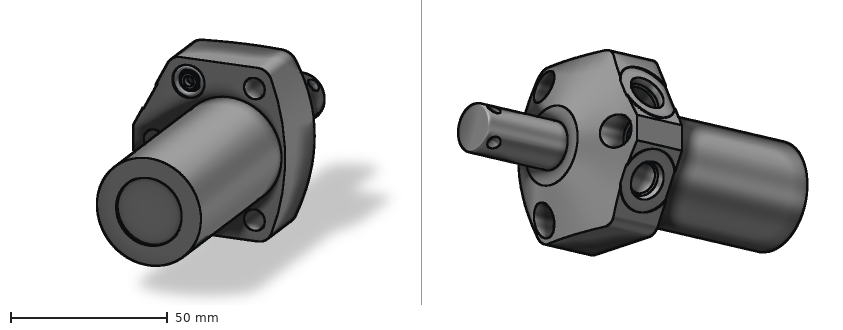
import cadquery as cq
import math

LENGTH = 124.0
ROD_TIP_Y = 58.9
BARREL_LENGTH = LENGTH - ROD_TIP_Y
BARREL_RADIUS = 18.1
END_RECESS_RADIUS = 11.4
END_RECESS_DEPTH = 1.2

ROD_RADIUS = 8.0
ROD_TIP_FILLET = 0.9
DIMPLE_DEPTH = 2.5
DIMPLE_TO_TIP = 4.0
DIMPLE_ANGLES = (45, 135, 225, 315)

FLANGE_LEFT = -33.5
FLANGE_RIGHT = 19.3
FLANGE_HEIGHT = 58.7
FLANGE_HALF_HEIGHT = FLANGE_HEIGHT / 2
LEFT_FLAT_HALF = 4.2
SLANT_ANGLE = math.radians(62)
RIGHT_ARC_RADIUS = 72.7
CORNER_RADIUS = 5.0

FLANGE_THICKNESS = 26.3
CONE_TOP_RADIUS = 13.0
CONE_SLOPE = math.radians(20.3)
CONE_BASE_RADIUS = 49.6

BOLT_RADIUS = 3.6
BOLT_HEAD_RADIUS = 5.5
BOLT_SEAT_Y = 13.6
BOLT_POINTS = [(-26.2, 0), (8.7, 22.2), (8.7, -22.2)]

PORT_Y = 9.4
PORT_Z = 14.8
PORT_SPOT_RADIUS = 10.5
PORT_SPOT_DEPTH = 0.4
PORT_PROFILE = [(6.3, 0.0), (5.7, 2.4), (5.1, 3.1), (5.1, 16.2)]

VALVE_X = -14.3
VALVE_Z = 21.5
VALVE_RADIUS = 5.6
OPEN_BORE_PROFILE = [(VALVE_RADIUS, 0.0), (VALVE_RADIUS, 2.5), (4.6, 2.5), (4.0, 5.0), (3.3, 5.6)]
PLUG_RIM_INNER = 3.7
PLUG_RIM_HEIGHT = 0.2
PLUG_FLOOR_DEPTH = 1.5
PLUG_CORE_RADIUS = 2.7
PLUG_CORE_BEVEL = 0.5
PLUG_CORE_DEPTH = 0.2
PLUG_SOCKET_RADIUS = 1.7
PLUG_SOCKET_DEPTH = 3.1


def disc(radius, y_start, y_end, x=0.0, z=0.0):
    """Solid cylinder along Y between two Y positions."""
    axis = cq.Vector(0, 1, 0)
    return cq.Workplane(cq.Solid.makeCylinder(radius, y_end - y_start, cq.Vector(x, y_start, z), axis))


def bore(profile, plane):
    """Stepped round cutter: (radius, depth) pairs measured down the plane's normal."""
    points = [(0, profile[0][1])] + profile + [(0, profile[-1][1])]
    section = cq.Plane(plane.origin, plane.xDir, plane.xDir.cross(plane.zDir))
    return cq.Workplane(section).polyline(points).close().revolve(360, (0, 0, 0), (0, 1, 0))


def flange_blank():
    slant_run = (FLANGE_HALF_HEIGHT - LEFT_FLAT_HALF) / math.tan(SLANT_ANGLE)
    top_left = FLANGE_LEFT + slant_run
    arc_drop = RIGHT_ARC_RADIUS - math.sqrt(RIGHT_ARC_RADIUS**2 - FLANGE_HALF_HEIGHT**2)
    top_right = FLANGE_RIGHT - arc_drop
    blank = (
        cq.Workplane("XZ")
        .moveTo(FLANGE_LEFT, -LEFT_FLAT_HALF)
        .lineTo(FLANGE_LEFT, LEFT_FLAT_HALF)
        .lineTo(top_left, FLANGE_HALF_HEIGHT)
        .lineTo(top_right, FLANGE_HALF_HEIGHT)
        .threePointArc((FLANGE_RIGHT, 0), (top_right, -FLANGE_HALF_HEIGHT))
        .lineTo(top_left, -FLANGE_HALF_HEIGHT)
        .close()
        .extrude(-FLANGE_THICKNESS)
    )
    blank = blank.edges("|Y").edges(">Z or <Z").fillet(CORNER_RADIUS)

    cone_drop = (CONE_BASE_RADIUS - CONE_TOP_RADIUS) * math.tan(CONE_SLOPE)
    cone_envelope = (
        cq.Workplane("XY")
        .polyline([
            (0, 0),
            (CONE_BASE_RADIUS, 0),
            (CONE_BASE_RADIUS, FLANGE_THICKNESS - cone_drop),
            (CONE_TOP_RADIUS, FLANGE_THICKNESS),
            (0, FLANGE_THICKNESS),
        ])
        .close()
        .revolve(360, (0, 0, 0), (0, 1, 0))
    )
    return blank.intersect(cone_envelope)


def port(side):
    """Spotface and bore in the upper (side = 1) or lower (side = -1) slanted face."""
    x = FLANGE_LEFT + (PORT_Z - LEFT_FLAT_HALF) / math.tan(SLANT_ANGLE)
    inward = cq.Vector(math.sin(SLANT_ANGLE), 0, -side * math.cos(SLANT_ANGLE))
    plane = cq.Plane(cq.Vector(x, PORT_Y, side * PORT_Z), cq.Vector(0, 1, 0), inward)
    spotface = cq.Workplane(plane).circle(PORT_SPOT_RADIUS).extrude(PORT_SPOT_DEPTH)
    below_spotface = [(radius, depth + PORT_SPOT_DEPTH) for radius, depth in PORT_PROFILE]
    return spotface.union(bore(below_spotface, plane))


def turned_about_upper_valve(outline):
    """Revolve a closed (radius, depth) outline about the axis of the upper valve bore."""
    return outline.close().revolve(360, (0, 0, 0), (0, 1, 0))


def add_plug(body):
    """Round-topped ring about a bevelled core with a round socket, in the upper valve bore."""
    plane = cq.Plane((VALVE_X, 0, VALVE_Z), (1, 0, 0), (0, 0, 1))
    crown_radius = (VALVE_RADIUS - PLUG_RIM_INNER) / 2
    crown_center = PLUG_RIM_INNER + crown_radius
    shoulder = crown_radius - PLUG_RIM_HEIGHT
    ring = turned_about_upper_valve(
        cq.Workplane(plane)
        .moveTo(PLUG_RIM_INNER, PLUG_FLOOR_DEPTH)
        .lineTo(PLUG_RIM_INNER, shoulder)
        .threePointArc((crown_center, -PLUG_RIM_HEIGHT), (VALVE_RADIUS, shoulder))
        .lineTo(VALVE_RADIUS, PLUG_FLOOR_DEPTH)
    )
    core = turned_about_upper_valve(
        cq.Workplane(plane).polyline([
            (0, PLUG_CORE_DEPTH),
            (PLUG_CORE_RADIUS, PLUG_CORE_DEPTH),
            (PLUG_CORE_RADIUS + PLUG_CORE_BEVEL, PLUG_CORE_DEPTH + PLUG_CORE_BEVEL),
            (PLUG_CORE_RADIUS + PLUG_CORE_BEVEL, PLUG_FLOOR_DEPTH),
            (0, PLUG_FLOOR_DEPTH),
        ])
    )
    seat = disc(VALVE_RADIUS, 0, PLUG_FLOOR_DEPTH, VALVE_X, VALVE_Z)
    socket = disc(PLUG_SOCKET_RADIUS, 0, PLUG_SOCKET_DEPTH, VALVE_X, VALVE_Z)
    return body.cut(seat).union(ring).union(core).cut(socket)


def rod():
    shaft = disc(ROD_RADIUS, 0, ROD_TIP_Y).faces(">Y").edges().fillet(ROD_TIP_FILLET)
    dimple = cq.Workplane(
        cq.Solid.makeCone(
            0,
            DIMPLE_DEPTH,
            DIMPLE_DEPTH,
            cq.Vector(0, ROD_TIP_Y - DIMPLE_TO_TIP, ROD_RADIUS - DIMPLE_DEPTH),
            cq.Vector(0, 0, 1),
        )
    )
    for angle in DIMPLE_ANGLES:
        shaft = shaft.cut(dimple.rotate((0, 0, 0), (0, 1, 0), angle))
    return shaft


def barrel():
    tube = disc(BARREL_RADIUS, -BARREL_LENGTH, 0)
    return tube.cut(disc(END_RECESS_RADIUS, -BARREL_LENGTH, END_RECESS_DEPTH - BARREL_LENGTH))


flange = flange_blank()
for bolt_x, bolt_z in BOLT_POINTS:
    flange = flange.cut(disc(BOLT_RADIUS, 0, FLANGE_THICKNESS, bolt_x, bolt_z))
    flange = flange.cut(disc(BOLT_HEAD_RADIUS, BOLT_SEAT_Y, FLANGE_THICKNESS, bolt_x, bolt_z))
for port_side in (1, -1):
    flange = flange.cut(port(port_side))
open_bore_plane = cq.Plane((VALVE_X, 0, -VALVE_Z), (1, 0, 0), (0, 1, 0))
flange = flange.cut(bore(OPEN_BORE_PROFILE, open_bore_plane))
flange = add_plug(flange)

result = flange.union(rod()).union(barrel())